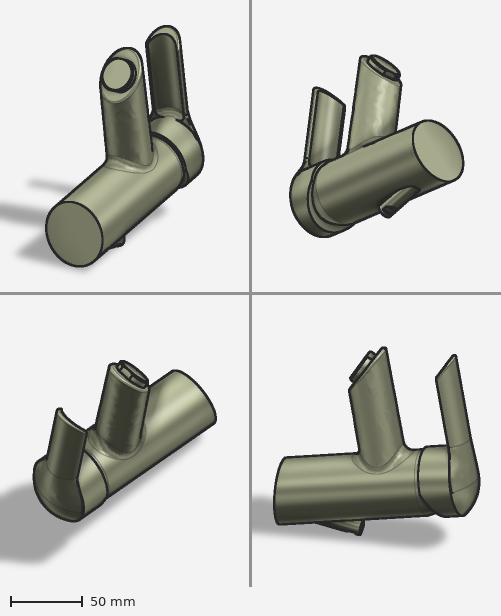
import cadquery as cq
import math

TILT = 10.0

BODY_RADIUS = 23.4
BODY_END = 104.8
NECK_MID = (22.0, 110.5)
NECK_END = (19.7, 116.7)
FRONT_OVERRUN = 7.1

CAP_DIAMETER = 50.0
CAP_RADIUS = CAP_DIAMETER / 2
CAP_START = 108.0
CAP_RIM = 130.9
BACK = 143.1
RELIEF_END = 119.6

LEVER_HALF_WIDTH = 14.0
LEVER_ROOT = 30.0
LEVER_TOP = 94.4
FLARE = [(0.0, CAP_RADIUS), (7.1, 24.2), (13.4, 21.7), (22.8, 16.4), (LEVER_ROOT, LEVER_HALF_WIDTH)]
TROUGH_HALF_WIDTH = 12.0
TROUGH_DEPTH = 6.5
TROUGH_ROUND = 4.3
LEVER_TIP_ROUND = 1.3
LEVER_EDGE_ROUND = 0.7
BEVEL = 45.0

SPOUT_CENTER = 77.7
SPOUT_BASE_HALF_WIDTH = 16.7
SPOUT_BASE_HALF_DEPTH = 16.0
SPOUT_TOP_RADIUS = 15.3
MOUTH_HEIGHT = 88.8
SPOUT_BLANK_LENGTH = 114.0
SPOUT_ROOT_ROUND = 6.5
SPOUT_EDGE_ROUND = 1.9

AERATOR_CENTER = (72.5, 90.5)
AERATOR_ANGLE = 47.0
AERATOR_RADIUS = 12.3
AERATOR_FLATS = 22.5
AERATOR_CHAMFER = 0.9
AERATOR_LENGTH = 8.5

STUB_RADIUS = 5.4
STUB_CENTER = (52.5, -31.0)
STUB_ANGLE = 20.5
STUB_LENGTH = 34.2
STUB_FLANGE = 2.9
STUB_NOTCH_END = 10.7
STUB_NOTCH_FLAT = 6.4
STUB_NOTCH_DEPTH = 2.4

BIG = 285.1
SELECT_MARGIN = 0.7


def above_bevel(y, z, angle):
    """Half space over a plane through (y, z) that rises toward +Y at the given angle."""
    block = cq.Workplane("XY").box(BIG, BIG, BIG, centered=(True, True, False))
    return block.rotate((0, 0, 0), (1, 0, 0), angle).translate((0, y, z))


def make_body():
    """Round body with a rounded taper at the back; its front runs past the trimmed face."""
    return (
        cq.Workplane("XY")
        .moveTo(0, -FRONT_OVERRUN)
        .lineTo(BODY_RADIUS, -FRONT_OVERRUN)
        .lineTo(BODY_RADIUS, BODY_END)
        .threePointArc(NECK_MID, NECK_END)
        .lineTo(0, NECK_END[1])
        .close()
        .revolve(360, (0, 0, 0), (0, 1, 0))
    )


def add_spout(body):
    """Join the spout, its mouth cut on the slant, and round its root into the body."""
    spout = (
        cq.Workplane("XY")
        .center(0, SPOUT_CENTER)
        .ellipse(SPOUT_BASE_HALF_WIDTH, SPOUT_BASE_HALF_DEPTH)
        .workplane(offset=SPOUT_BLANK_LENGTH)
        .circle(SPOUT_TOP_RADIUS)
        .loft(combine=True)
    )
    mouth = above_bevel(SPOUT_CENTER, MOUTH_HEIGHT, BEVEL)
    spout = spout.cut(mouth).faces(">(0,-1,1)").edges().fillet(SPOUT_EDGE_ROUND)
    joined = body.union(spout)
    reach = SPOUT_BASE_HALF_WIDTH + SELECT_MARGIN
    near_root = cq.selectors.BoxSelector(
        (-reach, SPOUT_CENTER - reach, 0),
        (reach, SPOUT_CENTER + reach, BODY_RADIUS + SELECT_MARGIN),
        boundingbox=True,
    )
    return joined.edges(near_root).fillet(SPOUT_ROOT_ROUND)


def make_aerator():
    """Round plug with two flats, lying almost parallel to the spout mouth."""
    flats = cq.Workplane("XY").rect(BIG, AERATOR_FLATS).extrude(-AERATOR_LENGTH)
    plug = (
        cq.Workplane("XY").circle(AERATOR_RADIUS).extrude(-AERATOR_LENGTH)
        .faces(">Z").chamfer(AERATOR_CHAMFER)
    )
    return (
        plug.intersect(flats)
        .rotate((0, 0, 0), (1, 0, 0), AERATOR_ANGLE)
        .translate((0, *AERATOR_CENTER))
    )


def make_cap():
    """Cylinder with the lower half of a spherical back, relieved on the lower front side."""
    barrel = (
        cq.Workplane("XZ", origin=(0, CAP_RIM, 0))
        .circle(CAP_RADIUS)
        .extrude(CAP_RIM - CAP_START)
    )
    relief = (
        cq.Workplane("YZ")
        .polyline([(CAP_START, 0), (RELIEF_END, -CAP_RADIUS), (CAP_START, -CAP_RADIUS)])
        .close()
        .extrude(BIG, both=True)
    )
    rise = BACK - CAP_RIM
    dome_radius = (CAP_RADIUS**2 + rise**2) / (2 * rise)
    half_angle = math.asin(CAP_RADIUS / dome_radius) / 2
    dome_mid = (
        dome_radius * math.sin(half_angle),
        BACK - dome_radius * (1 - math.cos(half_angle)),
    )
    half_dome = (
        cq.Workplane("XY")
        .moveTo(0, CAP_RIM)
        .lineTo(CAP_RADIUS, CAP_RIM)
        .threePointArc(dome_mid, (0, BACK))
        .close()
        .revolve(180, (0, 0, 0), (0, 1, 0))
    )
    return barrel.cut(relief).union(half_dome)


def bow(plane, half_width, base, depth):
    """Add a bow-shaped section: a flat chord at base and an arc bulging toward +Y."""
    return (
        plane.moveTo(-half_width, base)
        .threePointArc((0, base + depth), (half_width, base))
        .close()
    )


def side_edges(side):
    """Select the outer front edges along one side of the lever."""
    inner = side * (TROUGH_HALF_WIDTH + LEVER_HALF_WIDTH) / 2
    outer = side * (CAP_RADIUS + SELECT_MARGIN)
    return cq.selectors.BoxSelector(
        (inner, CAP_RIM - SELECT_MARGIN, -SELECT_MARGIN),
        (outer, CAP_RIM + SELECT_MARGIN, LEVER_TOP),
        boundingbox=True,
    )


def make_lever():
    """Bow-section lever flaring into the cap, with a trough along its front side."""
    rise = BACK - CAP_RIM
    section = cq.Workplane("XY")
    height = 0
    for next_height, half_width in FLARE:
        if next_height > height:
            section = section.workplane(offset=next_height - height)
        section = bow(section, half_width, CAP_RIM, rise)
        height = next_height
    flare = section.loft(combine=True)
    handle = bow(
        cq.Workplane("XY", origin=(0, 0, LEVER_ROOT)), LEVER_HALF_WIDTH, CAP_RIM, rise
    ).extrude(LEVER_TOP)
    lever = flare.union(handle)
    trough = bow(cq.Workplane("XY"), TROUGH_HALF_WIDTH, CAP_RIM, TROUGH_DEPTH).extrude(BIG)
    hub = cq.Workplane("XZ").circle(CAP_RADIUS).extrude(-BIG)
    lever = lever.cut(trough.cut(hub))
    lever = lever.cut(above_bevel(BACK, LEVER_TOP, BEVEL))
    lever = lever.edges(">Z").fillet(LEVER_TIP_ROUND)
    outer_edges = side_edges(1) + side_edges(-1)
    return lever.edges(outer_edges).fillet(LEVER_EDGE_ROUND)


def make_stub():
    """Slanted round stub with a flange at its rear end and a notch along its underside."""
    stub = cq.Workplane("XZ").circle(STUB_RADIUS).extrude(STUB_LENGTH)
    notch = (
        cq.Workplane("YZ")
        .polyline([
            (-STUB_FLANGE, -STUB_RADIUS),
            (-STUB_FLANGE, -STUB_RADIUS + STUB_NOTCH_DEPTH),
            (-STUB_NOTCH_FLAT, -STUB_RADIUS + STUB_NOTCH_DEPTH),
            (-STUB_NOTCH_END, -STUB_RADIUS),
        ])
        .close()
        .extrude(BIG, both=True)
    )
    return (
        stub.cut(notch)
        .rotate((0, 0, 0), (1, 0, 0), -STUB_ANGLE)
        .translate((0, *STUB_CENTER))
    )


def make_lever_cap():
    """Join cap and lever, with a round where the trough runs out onto the cap."""
    joined = make_cap().union(make_lever())
    half_width = TROUGH_HALF_WIDTH + SELECT_MARGIN
    trough_root = cq.selectors.BoxSelector(
        (-half_width, CAP_RIM - SELECT_MARGIN, 0),
        (half_width, BACK, CAP_RADIUS + SELECT_MARGIN),
        boundingbox=True,
    )
    return joined.edges(trough_root).fillet(TROUGH_ROUND)


tap = add_spout(make_body()).union(make_aerator())
tap = tap.union(make_lever_cap()).union(make_stub())
tap = tap.rotate((0, 0, 0), (1, 0, 0), TILT)
in_front = cq.Workplane("XZ").rect(BIG, BIG).extrude(BIG)
result = tap.cut(in_front)